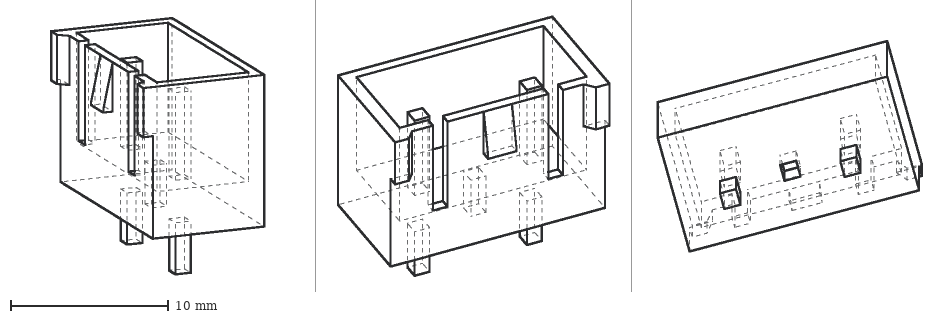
import cadquery as cq

width = 15.14
overall_depth = 8.35
lip_projection = 0.65
body_depth = overall_depth - lip_projection
body_height = 9.99
end_wall = 0.97
long_wall = 0.7
floor_thickness = 2.8
back_y = overall_depth / 2
front_y = back_y - body_depth
lip_y = front_y - lip_projection

lip_height = 3.24
lip_tip_width = 0.97
lip_root_width = 1.51
latch_width = 2.0
latch_edge_height = 0.2

slot_width = 1.03
slot_offset = 4.07
slot_depth = 6.55

pin_size = 1.06
pin_pitch = 3.97
pin_y = back_y - 4.31
pin_top = body_height - 1.42
pin_tail = 3.4


def block(x_size, y_min, y_max, z_min, z_max, x_center=0.0):
    """Axis-aligned block centred on x_center."""
    return (
        cq.Workplane("XY", origin=(x_center, (y_min + y_max) / 2, z_min))
        .box(x_size, y_max - y_min, z_max - z_min, centered=(True, True, False))
    )


def square_bar(x_center, z_min, z_max):
    """Vertical bar with the contact cross-section."""
    half = pin_size / 2
    return block(pin_size, pin_y - half, pin_y + half, z_min, z_max, x_center)


def corner_lip():
    """Lip at the -X corner, tapering back to the front wall."""
    left = -width / 2
    outline = [
        (left, front_y),
        (left, lip_y),
        (left + lip_tip_width, lip_y),
        (left + lip_root_width, front_y),
    ]
    return (
        cq.Workplane("XY", origin=(0, 0, body_height - lip_height))
        .polyline(outline)
        .close()
        .extrude(lip_height)
    )


def latch_wedge():
    """Ramp that starts flush at the rim and ends in a blunt catch edge."""
    catch_z = body_height - lip_height
    profile = [
        (front_y, body_height),
        (lip_y, catch_z + latch_edge_height),
        (lip_y, catch_z),
        (front_y, catch_z),
    ]
    return (
        cq.Workplane("YZ", origin=(-latch_width / 2, 0, 0))
        .polyline(profile)
        .close()
        .extrude(latch_width)
    )


result = block(width, front_y, back_y, 0, body_height)
cavity_front = front_y + long_wall
result = result.cut(
    block(width - 2 * end_wall, cavity_front, back_y - long_wall, floor_thickness, body_height)
)
lip = corner_lip()
result = result.union(lip).union(lip.mirror("YZ")).union(latch_wedge())

for side in (-1, 1):
    slot = block(
        slot_width, front_y, cavity_front, body_height - slot_depth, body_height, side * slot_offset
    )
    result = result.cut(slot)
    result = result.union(square_bar(side * pin_pitch, -pin_tail, pin_top))

result = result.cut(square_bar(0, 0, floor_thickness))